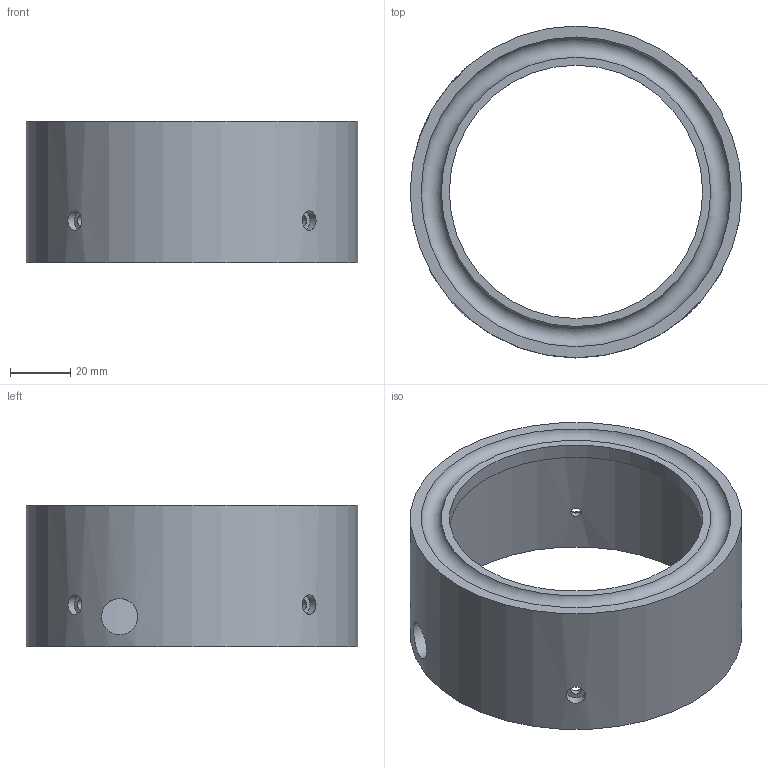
import cadquery as cq
import math

outer_diameter = 110.0
height = 47.0
bore_diameter = 100.0
lip_diameter = 84.0
lip_thickness = 5.0

groove_center_radius = 48.0
groove_profile_diameter = 7.0
groove_depth = 2.5

screw_count = 4
screw_start_angle = 45.0
screw_height = 14.0
screw_diameter = 3.4
counterbore_diameter = 6.5
counterbore_depth = 3.0

cable_hole_diameter = 12.0
cable_hole_y = 24.0
cable_hole_height = 10.0

outer_radius = outer_diameter / 2
bore_radius = bore_diameter / 2
lip_radius = lip_diameter / 2


def ring_body():
    """Revolve the L-shaped wall section with its grooved top lip."""
    profile_radius = groove_profile_diameter / 2
    groove_half_width = math.sqrt(profile_radius**2 - (profile_radius - groove_depth) ** 2)
    groove_inner = groove_center_radius - groove_half_width
    groove_outer = groove_center_radius + groove_half_width
    return (
        cq.Workplane("XZ")
        .moveTo(bore_radius, 0)
        .lineTo(outer_radius, 0)
        .lineTo(outer_radius, height)
        .lineTo(groove_outer, height)
        .threePointArc((groove_center_radius, height - groove_depth), (groove_inner, height))
        .lineTo(lip_radius, height)
        .lineTo(lip_radius, height - lip_thickness)
        .lineTo(bore_radius, height - lip_thickness)
        .close()
        .revolve(360, (0, 0, 0), (0, 1, 0))
    )


def screw_cutter(angle):
    """Radial screw clearance hole with a counterbore sunk from the outer wall."""
    direction = cq.Vector(math.cos(math.radians(angle)), math.sin(math.radians(angle)), 0)
    axis_point = cq.Vector(0, 0, screw_height)
    seat_point = axis_point + direction * (outer_radius - counterbore_depth)
    clearance = cq.Solid.makeCylinder(screw_diameter / 2, outer_radius, axis_point, direction)
    counterbore = cq.Solid.makeCylinder(
        counterbore_diameter / 2, 2 * counterbore_depth, seat_point, direction
    )
    return clearance.fuse(counterbore)


def cable_hole_cutter():
    """Cylinder from the middle of the ring out through the -X wall."""
    start = cq.Vector(0, cable_hole_y, cable_hole_height)
    return cq.Solid.makeCylinder(cable_hole_diameter / 2, outer_radius, start, cq.Vector(-1, 0, 0))


result = ring_body()
for index in range(screw_count):
    result = result.cut(cq.Workplane(screw_cutter(screw_start_angle + index * 360 / screw_count)))
result = result.cut(cq.Workplane(cable_hole_cutter()))